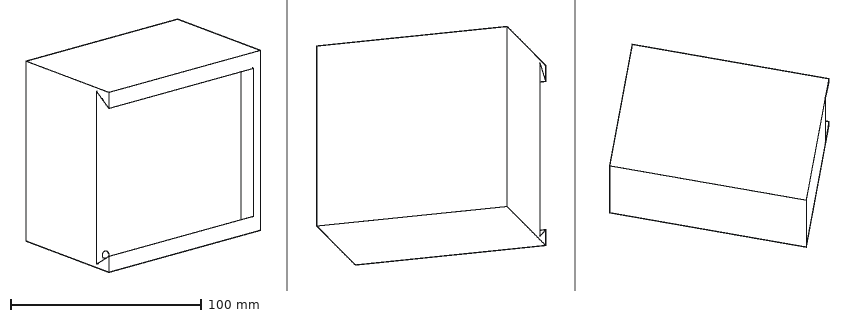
import cadquery as cq

depth = 67.0
length = 105.0
height = 100.0

slot_depth = 10.0
lip_at_floor = 2.0
lip_at_mouth = 8.9
end_wall = 5.0

detent_radius = 2.0
detent_inset = 6.0

floor_x = depth - slot_depth


def make_block():
    return cq.Workplane("XY").box(depth, length, height, centered=False)


def make_slot():
    """Trapezoid, wider at its floor than at its mouth, run from the -Y face."""
    slot_length = length - end_wall
    return (
        cq.Workplane("XZ")
        .moveTo(floor_x, lip_at_floor)
        .lineTo(depth, lip_at_mouth)
        .lineTo(depth, height - lip_at_mouth)
        .lineTo(floor_x, height - lip_at_floor)
        .close()
        .extrude(-slot_length)
    )


def make_detent(z):
    """Ball centred on the slot floor, so that half of it stands proud."""
    return cq.Workplane("YZ").sphere(detent_radius).translate((floor_x, detent_inset, z))


result = make_block().cut(make_slot())
for detent_z in (detent_inset, height - detent_inset):
    result = result.union(make_detent(detent_z))